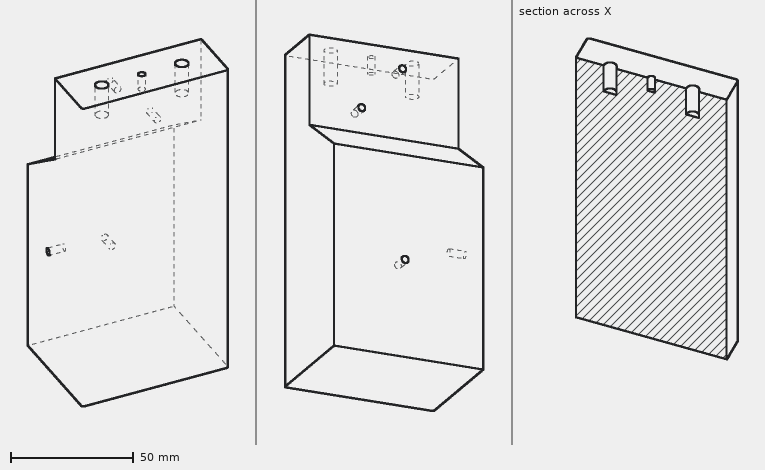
import cadquery as cq

height = 146.0
width = 66.7
depth = 50.8

neck_depth = 25.5
neck_height = 39.7
slope_bottom = 88.9
back_edge_radius = 1.0
neck_face_x = depth - neck_depth

bolt_hole_diameter = 5.5
bolt_hole_spacing = 36.5
bolt_hole_length = 14.6
hole_row_x = 38.1

pin_diameter = 3.0
pin_hole_length = 7.3

neck_pins = [(-8.3, height - 8.5), (10.0, height - 28.5)]
body_pin = (1.6, 42.9)

side_pin = (19.0, 57.2)


def stepped_block():
    """Block whose front face slopes back to a thinner neck, with rounded back edges."""
    profile = [
        (0, 0),
        (depth, 0),
        (depth, height),
        (neck_face_x, height),
        (neck_face_x, height - neck_height),
        (0, slope_bottom),
    ]
    block = cq.Workplane("XZ").polyline(profile).close().extrude(width / 2, both=True)
    return block.faces(">X").edges("|Z").fillet(back_edge_radius)


def blind_hole(mouth, direction, diameter, length):
    """Cylinder to cut away, running from the hole's mouth into the part."""
    return cq.Solid.makeCylinder(diameter / 2, length, cq.Vector(*mouth), cq.Vector(*direction))


def pin_hole(mouth, direction):
    return blind_hole(mouth, direction, pin_diameter, pin_hole_length)


into_top = (0, 0, -1)
into_front = (1, 0, 0)
into_side = (0, 1, 0)

body = stepped_block()

for y in (-bolt_hole_spacing / 2, bolt_hole_spacing / 2):
    body = body.cut(blind_hole((hole_row_x, y, height), into_top, bolt_hole_diameter, bolt_hole_length))
body = body.cut(pin_hole((hole_row_x, 0, height), into_top))

for y, z in neck_pins:
    body = body.cut(pin_hole((neck_face_x, y, z), into_front))

body = body.cut(pin_hole((0, *body_pin), into_front))

side_x, side_z = side_pin
body = body.cut(pin_hole((side_x, -width / 2, side_z), into_side))

result = body